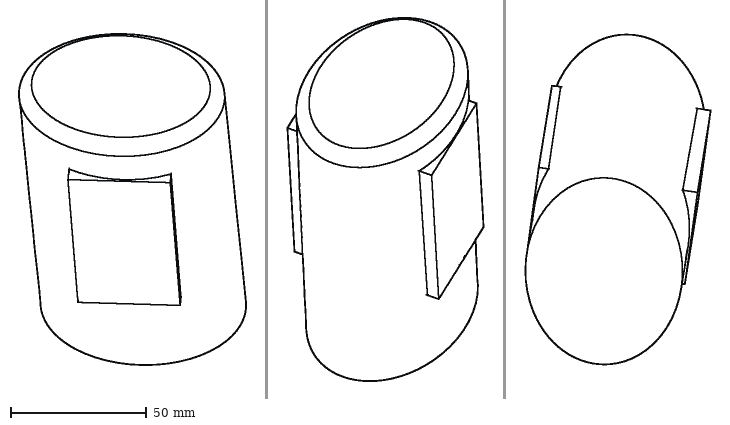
import cadquery as cq

shaft_length = 126.9
semi_major = 38.4
semi_minor = 29.1
section_angle = 38.8
top_chamfer = 5.0
lean_angle = 5.0

key_width = 38.0
key_length = 71.7
key_depth = 7.9
key_face_angle = 43.7
key_skew = 0.8
key_face_offsets = {"front": 29.9, "back": 29.5}
key_heights = {"front": 9.0, "back": 11.0}


def lean(body):
    """Tip an upright body into the common leaning position."""
    return body.rotate((0, 0, 0), (1, 0, 0), lean_angle)


def make_key(side):
    """Rectangular key on the front (-Y) or back (+Y) flank, in its final place."""
    outward = -1 if side == "front" else 1
    key_centre = outward * (key_face_offsets[side] - key_depth / 2)
    key = (
        cq.Workplane("XY")
        .box(key_width, key_depth, key_length)
        .rotate((0, 0, 0), (0, 1, 0), key_skew)
        .translate((0, key_centre, key_heights[side]))
        .rotate((0, 0, 0), (0, 0, 1), key_face_angle)
    )
    return lean(key)


def make_shaft(keys):
    """Elliptical shaft with a chamfered top and one matching seat per key."""
    shaft = (
        cq.Workplane("XY")
        .workplane(offset=-shaft_length / 2)
        .ellipse(semi_major, semi_minor)
        .extrude(shaft_length)
        .faces(">Z")
        .chamfer(top_chamfer)
        .rotate((0, 0, 0), (0, 0, 1), section_angle)
    )
    shaft = lean(shaft)
    for key in keys:
        shaft = shaft.cut(key)
    return shaft


keys = [make_key(side) for side in key_heights]
shaft = make_shaft(keys)

result = cq.Compound.makeCompound([shaft.val(), *[key.val() for key in keys]])